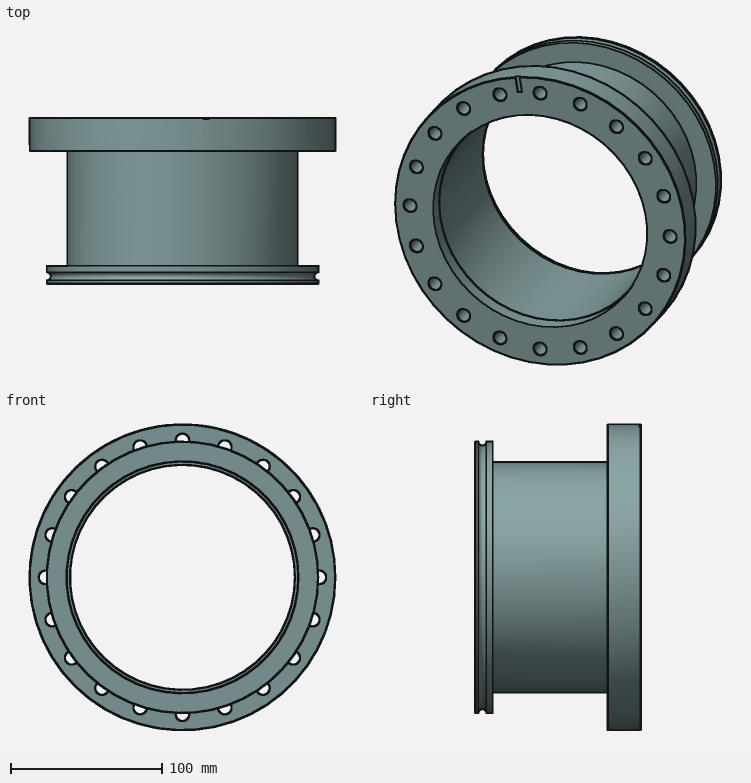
import cadquery as cq

total_length = 110.0

tube_outer_radius = 76.3
tube_bore_radius = 74.0
tube_socket_depth = 10.0

edge_chamfer = 0.5
stop_bore_radius = 74.5

clamp_radius = 89.9
clamp_thickness = 12.0
relief_depth = 4.5
stop_thickness = 2.0
groove_radius = 2.6
groove_center = 5.0

bolted_radius = 101.2
bolted_thickness = 22.3
bolt_count = 20
bolt_hole_diameter = 8.5
hole_chamfer = 0.5
bolt_circle_radius = 90.5

leak_groove_width = 3.0
leak_groove_depth = 1.2
leak_groove_angle = 180 / bolt_count

tube_start = relief_depth + stop_thickness
bolted_front = total_length - bolted_thickness
tube_end = bolted_front + tube_socket_depth


def revolve_about_y(profile):
    """Turn a closed (radius, Y) profile into a solid around the Y axis."""
    return profile.close().revolve(360, (0, 0, 0), (0, 1, 0))


def make_tube():
    return revolve_about_y(
        cq.Workplane("XY")
        .moveTo(tube_bore_radius, tube_start)
        .lineTo(tube_outer_radius, tube_start)
        .lineTo(tube_outer_radius, tube_end)
        .lineTo(tube_bore_radius, tube_end)
    )


def make_clamp_flange():
    return revolve_about_y(
        cq.Workplane("XY")
        .moveTo(tube_outer_radius + edge_chamfer, 0)
        .lineTo(clamp_radius - edge_chamfer, 0)
        .lineTo(clamp_radius, edge_chamfer)
        .lineTo(clamp_radius, groove_center - groove_radius)
        .threePointArc(
            (clamp_radius - groove_radius, groove_center),
            (clamp_radius, groove_center + groove_radius),
        )
        .lineTo(clamp_radius, clamp_thickness)
        .lineTo(tube_outer_radius, clamp_thickness)
        .lineTo(tube_outer_radius, tube_start)
        .lineTo(stop_bore_radius, tube_start)
        .lineTo(stop_bore_radius, relief_depth)
        .lineTo(tube_outer_radius, relief_depth)
        .lineTo(tube_outer_radius, edge_chamfer)
    )


def make_bolt_holes():
    """One through-hole cutter per bolt, chamfered at both mouths, the first on the +Z side."""
    hole_radius = bolt_hole_diameter / 2
    mouth_radius = hole_radius + hole_chamfer
    cutter = revolve_about_y(
        cq.Workplane("XY")
        .moveTo(0, bolted_front)
        .lineTo(mouth_radius, bolted_front)
        .lineTo(hole_radius, bolted_front + hole_chamfer)
        .lineTo(hole_radius, total_length - hole_chamfer)
        .lineTo(mouth_radius, total_length)
        .lineTo(0, total_length)
    ).translate((0, 0, bolt_circle_radius))

    holes = cq.Workplane("XY")
    for index in range(bolt_count):
        angle = index * 360 / bolt_count
        holes = holes.add(cutter.rotate((0, 0, 0), (0, 1, 0), angle))
    return holes.combine()


def make_leak_groove():
    """Radial slot cutter from the bolt circle out through the rim."""
    length = bolted_radius - bolt_circle_radius
    slot = cq.Workplane("XY").box(leak_groove_width, 2 * leak_groove_depth, 2 * length)
    slot = slot.translate((0, total_length, bolted_radius))
    return slot.rotate((0, 0, 0), (0, 1, 0), leak_groove_angle)


def make_bolted_flange():
    flange = revolve_about_y(
        cq.Workplane("XY")
        .moveTo(tube_outer_radius, bolted_front)
        .lineTo(bolted_radius - edge_chamfer, bolted_front)
        .lineTo(bolted_radius, bolted_front + edge_chamfer)
        .lineTo(bolted_radius, total_length - edge_chamfer)
        .lineTo(bolted_radius - edge_chamfer, total_length)
        .lineTo(stop_bore_radius, total_length)
        .lineTo(stop_bore_radius, tube_end)
        .lineTo(tube_outer_radius, tube_end)
    )
    return flange.cut(make_bolt_holes()).cut(make_leak_groove())


tube = make_tube()
clamp_flange = make_clamp_flange()
bolted_flange = make_bolted_flange()

result = cq.Compound.makeCompound([tube.val(), clamp_flange.val(), bolted_flange.val()])